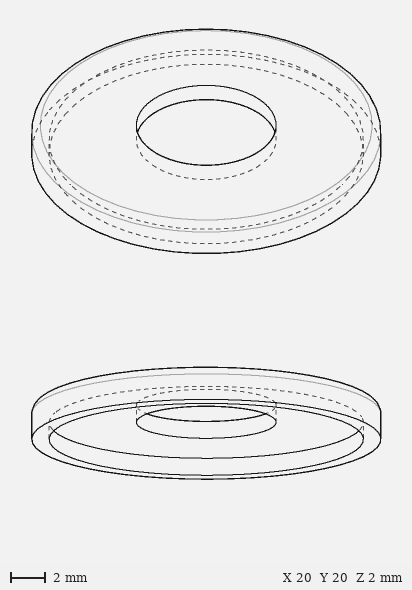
import cadquery as cq

outer_diameter = 20.0
hole_diameter = 8.0
height = 2.0
wall_thickness = 1.0
edge_radius = 0.5

recess_diameter = outer_diameter - 2 * wall_thickness
recess_depth = height - wall_thickness


def rounded_disc():
    """Solid disc with its upper outer edge rounded."""
    disc = cq.Workplane("XY").circle(outer_diameter / 2).extrude(height)
    return disc.faces(">Z").edges().fillet(edge_radius)


def underside_recess():
    """Round volume that hollows the disc from below, leaving the top plate and rim."""
    return cq.Workplane("XY").circle(recess_diameter / 2).extrude(recess_depth)


def centre_hole():
    """Round volume of the hole through the top plate."""
    return cq.Workplane("XY").circle(hole_diameter / 2).extrude(height)


result = rounded_disc().cut(underside_recess()).cut(centre_hole())